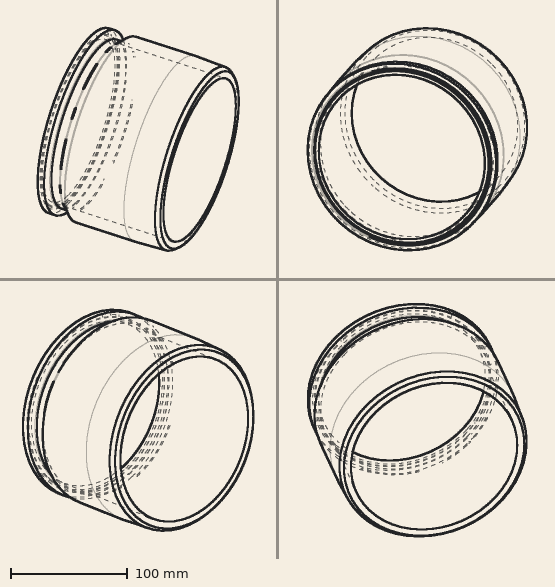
import cadquery as cq
import math

LENGTH = 114.4
BODY_RADIUS = 167.7 / 2
BORE_RADIUS = 146.9 / 2

FLANGE_RADIUS = 166.8 / 2
RIM_WIDTH = 6.2
BACK_ANGLE = 20

NECK_RADIUS = 152.4 / 2
SHOULDER_START = 18.1
ROOT_FILLET = 1.3
SHOULDER_FILLET = 1.5

TAPER_START = 81.8
TAPER_DROP = 1.2
CHAMFER_LENGTH = 3.7
CHAMFER_HEIGHT = 3.0

GROOVE_CENTER_RADIUS = 78.0
GROOVE_DEPTH = 1.5
GROOVE_BOTTOM_RADIUS = 1.25
GROOVE_LIP_FILLET = 0.7

X_AXIS = ((0, 0, 0), (1, 0, 0))


def ring_edges(solid, x, radius):
    """Select the circular edges of the given radius centred on the axis at x."""
    tolerance = 0.02
    circles = solid.edges("%CIRCLE")
    return circles.filter(
        lambda e: abs(e.Center().x - x) < tolerance and abs(e.radius() - radius) < tolerance
    )


def make_body():
    """Revolve the wall: flange, neck, shoulder, body and tapered end."""
    back_width = (FLANGE_RADIUS - NECK_RADIUS) * math.tan(math.radians(BACK_ANGLE))
    neck_start = RIM_WIDTH + back_width
    shoulder_end = SHOULDER_START + (BODY_RADIUS - NECK_RADIUS)
    chamfer_start = LENGTH - CHAMFER_LENGTH
    taper_end_radius = BODY_RADIUS - TAPER_DROP

    wall = (
        cq.Workplane("XY")
        .moveTo(0, BORE_RADIUS)
        .lineTo(0, FLANGE_RADIUS)
        .lineTo(RIM_WIDTH, FLANGE_RADIUS)
        .lineTo(neck_start, NECK_RADIUS)
        .lineTo(SHOULDER_START, NECK_RADIUS)
        .lineTo(shoulder_end, BODY_RADIUS)
        .lineTo(TAPER_START, BODY_RADIUS)
        .lineTo(chamfer_start, taper_end_radius)
        .lineTo(LENGTH, taper_end_radius - CHAMFER_HEIGHT)
        .lineTo(LENGTH, BORE_RADIUS)
        .close()
        .revolve(360, *X_AXIS)
    )

    corners = [
        (neck_start, NECK_RADIUS, ROOT_FILLET),
        (SHOULDER_START, NECK_RADIUS, SHOULDER_FILLET),
        (shoulder_end, BODY_RADIUS, SHOULDER_FILLET),
    ]
    for x, radius, fillet_radius in corners:
        wall = ring_edges(wall, x, radius).fillet(fillet_radius)
    return wall


def cut_gasket_groove(body):
    """Cut the round-bottomed ring groove and round both of its lips."""
    center_depth = GROOVE_DEPTH - GROOVE_BOTTOM_RADIUS
    half_mouth = math.sqrt(GROOVE_BOTTOM_RADIUS**2 - center_depth**2)
    ring = (
        cq.Workplane("XY")
        .moveTo(center_depth, GROOVE_CENTER_RADIUS)
        .circle(GROOVE_BOTTOM_RADIUS)
        .revolve(360, *X_AXIS)
    )
    grooved = body.cut(ring)
    for side in (-1, 1):
        lip_radius = GROOVE_CENTER_RADIUS + side * half_mouth
        grooved = ring_edges(grooved, 0, lip_radius).fillet(GROOVE_LIP_FILLET)
    return grooved


result = cut_gasket_groove(make_body())